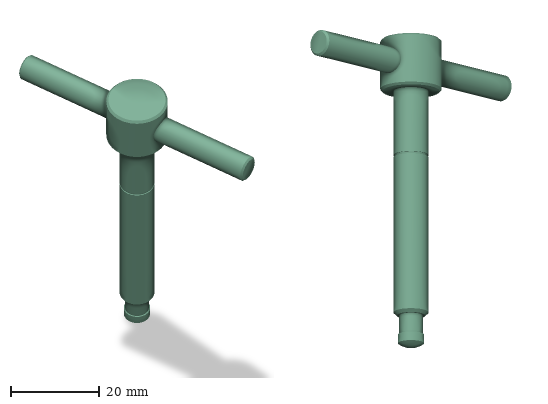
import cadquery as cq
import math

total_height = 72.0
bar_length = 60.0

head_diameter = 14.0
head_height = 12.0
head_chamfer = 0.5
bar_diameter = 6.0
bar_chamfer = 0.4

shank_radius = 8.0 / 2
plain_length = 15.0
groove_width = 0.5
groove_depth = 0.2
shank_end_chamfer = 0.7

tip_length = 7.5
neck_radius = 5.4 / 2
collar_radius = 6.0 / 2
collar_top = 3.0
dome_radius = 5.0

head_bottom = total_height - head_height
groove_top = head_bottom - plain_length
dome_height = dome_radius - math.sqrt(dome_radius**2 - collar_radius**2)


def make_head():
    head = cq.Workplane("XY").workplane(offset=head_bottom).circle(head_diameter / 2).extrude(head_height)
    return head.faces("<Z or >Z").chamfer(head_chamfer)


def make_bar():
    """Cross bar along X through the middle of the head."""
    bar_center = (0, 0, head_bottom + head_height / 2)
    bar = cq.Workplane("YZ", origin=bar_center).circle(bar_diameter / 2).extrude(bar_length / 2, both=True)
    return bar.faces("<X or >X").chamfer(bar_chamfer)


def make_screw():
    """Shank and tip, revolved from a half profile of (radius, height) points."""
    half_angle = math.asin(collar_radius / dome_radius) / 2
    dome_middle = (dome_radius * math.sin(half_angle), dome_radius * (1 - math.cos(half_angle)))
    profile = (
        cq.Workplane("XZ")
        .threePointArc(dome_middle, (collar_radius, dome_height))
        .lineTo(collar_radius, collar_top)
        .lineTo(neck_radius, collar_top)
        .lineTo(neck_radius, tip_length)
        .lineTo(shank_radius - shank_end_chamfer, tip_length)
        .lineTo(shank_radius, tip_length + shank_end_chamfer)
        .lineTo(shank_radius, groove_top - groove_width)
        .lineTo(shank_radius - groove_depth, groove_top - groove_width)
        .lineTo(shank_radius - groove_depth, groove_top)
        .lineTo(shank_radius, groove_top)
        .lineTo(shank_radius, head_bottom)
        .lineTo(0, head_bottom)
        .close()
    )
    return profile.revolve(360, (0, 0, 0), (0, 1, 0))


result = make_head().union(make_bar()).union(make_screw())